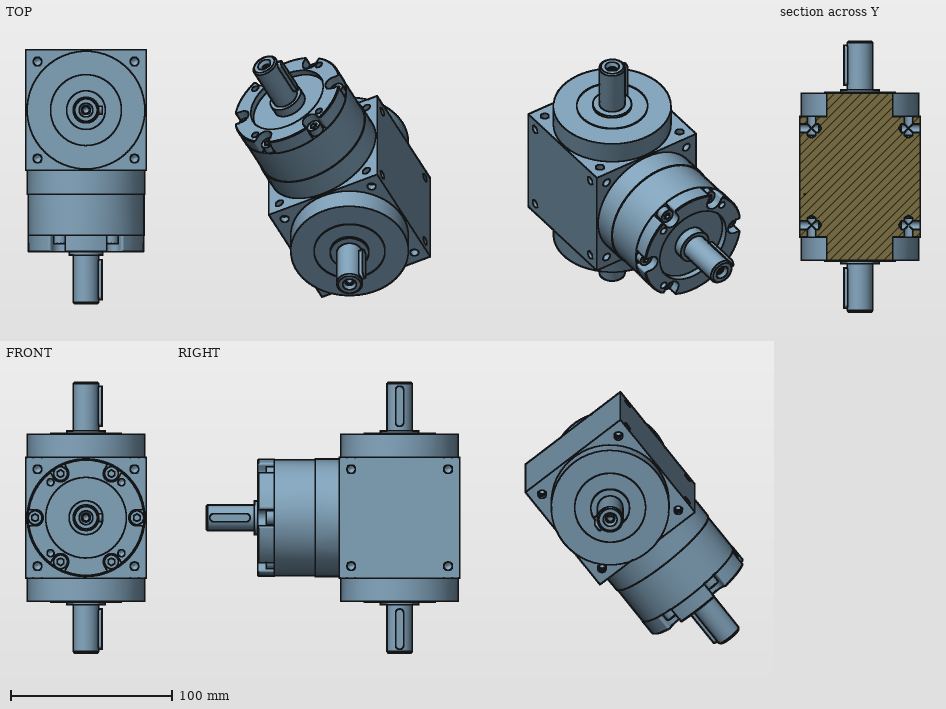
import cadquery as cq
import math


cube_side = 75.0
half_cube = cube_side / 2
corner_hole_offset = 30.0
corner_hole_diameter = 5.2
corner_hole_depth = 11.8

flange_diameter = 73.0
flange_height = 14.5
seal_diameter = 44.0
seal_height = 0.5
side_collar_diameter = 24.0
side_collar_height = 1.5
side_shaft_end = 84.0

front_flange_length = 14.8
stage_diameter = 72.0
stage_length = 25.5
cover_diameter = 72.5
cover_length = 10.2
cover_chamfer = 0.5
recess_diameter = 50.0
recess_depth = 4.0
front_collar_diameter = 21.0
front_collar_height = 2.0
overall_length = 157.5
front_shaft_end = overall_length - half_cube

screw_count = 6
screw_spacing = 360 / screw_count
screw_circle_radius = 31.5
slot_width = 10.0
slot_mouth_radius = 1.3
screw_head_diameter = 8.5
screw_head_height = 5.0
socket_across_flats = 4.0
socket_depth = 2.5

cover_hole_offset = 22.0
cover_hole_diameter = 4.4
cover_hole_depth = 10.0

shaft_diameter = 16.0
shaft_chamfer = 1.0
key_width = 5.0
key_length = 25.0
key_top = 10.0
key_end_gap = 2.4

centre_mouth_diameter = 8.5
centre_cone_depth = 2.5
centre_relief_diameter = 5.4
centre_relief_depth = 3.9
centre_bore_diameter = 4.2
centre_bore_depth = 16.0

drill_point_angle = 118.0

flange_face = half_cube + flange_height
seal_face = flange_face + seal_height
side_collar_face = seal_face + side_collar_height
front_flange_face = half_cube + front_flange_length
stage_face = front_flange_face + stage_length
cover_face = stage_face + cover_length
front_collar_face = cover_face + front_collar_height


def drill_point(diameter):
    """Height of the cone a drill leaves at the bottom of a hole."""
    return diameter / 2 / math.tan(math.radians(drill_point_angle / 2))


def disc(diameter, start, end):
    """Cylinder on the Z axis between two heights."""
    return cq.Workplane("XY").workplane(offset=start).circle(diameter / 2).extrude(end - start)


def drilled_hole(x, y, face, diameter, depth):
    """Cutter for a blind hole drilled down from a face, with a conical bottom."""
    radius = diameter / 2
    tip = face - depth - drill_point(diameter)
    profile = [(0, face), (radius, face), (radius, face - depth), (0, tip)]
    hole = cq.Workplane("XZ").polyline(profile).close().revolve(360, (0, 0, 0), (0, 1, 0))
    return hole.translate((x, y, 0))


def facing_front(shape):
    """Turn a shape built along +Z to point along -Y, with +X unchanged."""
    return shape.rotate((0, 0, 0), (1, 0, 0), 90)


def centre_hole(end):
    """Cutter for the countersunk, relieved and tapped hole in a shaft end."""
    mouth = centre_mouth_diameter / 2
    relief = centre_relief_diameter / 2
    bore = centre_bore_diameter / 2
    bore_bottom = end - centre_bore_depth
    profile = [
        (0, end),
        (mouth, end),
        (relief, end - centre_cone_depth),
        (relief, end - centre_relief_depth),
        (bore, end - centre_relief_depth),
        (bore, bore_bottom),
        (0, bore_bottom - drill_point(centre_bore_diameter)),
    ]
    return cq.Workplane("XZ").polyline(profile).close().revolve(360, (0, 0, 0), (0, 1, 0))


def keyed_shaft(start, end):
    """Shaft along +Z with a round-ended key on its +X side."""
    shaft = disc(shaft_diameter, start, end).faces(">Z").chamfer(shaft_chamfer)
    key_middle = end - key_end_gap - key_length / 2
    key = (
        cq.Workplane("YZ")
        .center(0, key_middle)
        .slot2D(key_length, key_width, 90)
        .extrude(key_top)
    )
    return shaft.union(key).cut(centre_hole(end))


def side_output():
    """Flange, seal, collar and shaft standing on the cube's top face."""
    output = disc(flange_diameter, half_cube, flange_face)
    output = output.union(disc(seal_diameter, flange_face, seal_face))
    output = output.union(disc(side_collar_diameter, seal_face, side_collar_face))
    return output.union(keyed_shaft(side_collar_face, side_shaft_end))


def screw_slot():
    """Cutter for one screw slot on the +X side, flared by rounds where it meets the rim."""
    rim = cover_diameter / 2
    half_width = slot_width / 2
    round_y = half_width + slot_mouth_radius
    round_x = math.sqrt((rim - slot_mouth_radius) ** 2 - round_y**2)
    rim_angle = math.atan2(round_y, round_x)
    touch_x = rim * math.cos(rim_angle)
    touch_y = rim * math.sin(rim_angle)
    middle_angle = (rim_angle - math.pi / 2) / 2
    middle_x = round_x + slot_mouth_radius * math.cos(middle_angle)
    middle_y = round_y + slot_mouth_radius * math.sin(middle_angle)
    outside = rim + slot_width
    return (
        cq.Workplane("XY")
        .workplane(offset=stage_face)
        .moveTo(screw_circle_radius, half_width)
        .lineTo(round_x, half_width)
        .threePointArc((middle_x, middle_y), (touch_x, touch_y))
        .lineTo(outside, touch_y)
        .lineTo(outside, -touch_y)
        .lineTo(touch_x, -touch_y)
        .threePointArc((middle_x, -middle_y), (round_x, -half_width))
        .lineTo(screw_circle_radius, -half_width)
        .threePointArc((screw_circle_radius - half_width, 0), (screw_circle_radius, half_width))
        .close()
        .extrude(cover_length)
    )


def screw_head(x, y):
    """Socket-head screw standing on the floor of a slot."""
    head_top = stage_face + screw_head_height
    corner_diameter = socket_across_flats / math.cos(math.pi / 6)
    socket = (
        cq.Workplane("XY")
        .workplane(offset=head_top - socket_depth)
        .polygon(6, corner_diameter)
        .extrude(socket_depth)
        .rotate((0, 0, 0), (0, 0, 1), 30)
    )
    return disc(screw_head_diameter, stage_face, head_top).cut(socket).translate((x, y, 0))


def front_output():
    """Planetary stage, screwed cover and shaft, built along +Z."""
    cover = disc(cover_diameter, stage_face, cover_face).faces(">Z").chamfer(cover_chamfer)
    cover = cover.cut(disc(recess_diameter, cover_face - recess_depth, cover_face))
    slot = screw_slot()
    for i in range(screw_count):
        angle = screw_spacing * i
        cover = cover.cut(slot.rotate((0, 0, 0), (0, 0, 1), angle))

    output = disc(flange_diameter, half_cube, front_flange_face)
    output = output.union(disc(stage_diameter, front_flange_face, stage_face)).union(cover)
    for i in range(screw_count):
        angle = math.radians(screw_spacing * i)
        x = screw_circle_radius * math.cos(angle)
        y = screw_circle_radius * math.sin(angle)
        output = output.union(screw_head(x, y))
    for x in (-cover_hole_offset, cover_hole_offset):
        for y in (-cover_hole_offset, cover_hole_offset):
            output = output.cut(drilled_hole(x, y, cover_face, cover_hole_diameter, cover_hole_depth))

    collar_base = cover_face - recess_depth
    output = output.union(disc(front_collar_diameter, collar_base, front_collar_face))
    return output.union(keyed_shaft(front_collar_face, front_shaft_end))


def housing():
    """Cube with four drilled corner holes in every face except the plain +Y one."""
    cube = cq.Workplane("XY").box(cube_side, cube_side, cube_side)
    face_holes = cq.Workplane("XY")
    for x in (-corner_hole_offset, corner_hole_offset):
        for y in (-corner_hole_offset, corner_hole_offset):
            face_holes.add(drilled_hole(x, y, half_cube, corner_hole_diameter, corner_hole_depth))
    face_holes = face_holes.combine()
    for turn in (0, 90, 180):
        cube = cube.cut(face_holes.rotate((0, 0, 0), (1, 0, 0), turn))
    for turn in (90, -90):
        cube = cube.cut(face_holes.rotate((0, 0, 0), (0, 1, 0), turn))
    return cube


top_output = side_output()
bottom_output = top_output.mirror("XY")
result = housing().union(top_output).union(bottom_output).union(facing_front(front_output()))